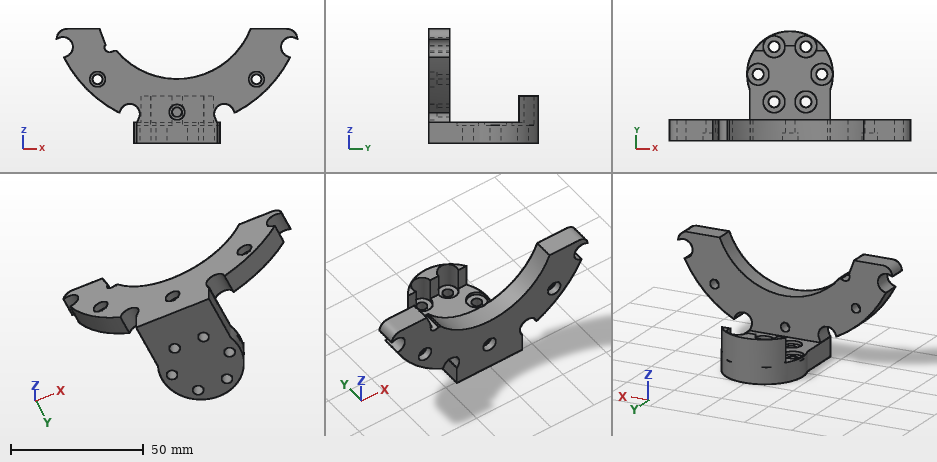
import cadquery as cq
import math

plate_thickness = 8.0
plate_width = 90.8
plate_height = 43.1
arc_center_z = 54.0
inner_radius = 29.8
horn_radius = 4.1
horn_tip_x = plate_width / 2
horn_tip_z = plate_height - horn_radius
outer_radius = math.hypot(horn_tip_x, arc_center_z - horn_tip_z)
foot_half_width = 15.2

slot_width = 7.4
slot_center_radius = 46.5
slot_angles = (22.5, 67.5)

relief_top_x = -29.1
relief_bottom = (-26.8, 36.9)
notch_start = (-27.2, 36.7)
notch_middle = (-26.7, 34.9)
notch_end = (-24.3, 34.6)
lip_start = (-23.6, 34.9)

plate_hole_diameter = 3.6
plate_bore_diameter = 5.8
plate_bore_depth = 3.0
plate_hole_radius = 42.3
plate_hole_angles = (-45, 0, 45)

base_thickness = 8.0
flange_radius = 16.25
overall_depth = 41.3
flange_center_y = overall_depth - flange_radius

wall_height = 17.9
wall_front_y = 34.0
wall_middle_y = 35.8

bolt_count = 6
bolt_circle_radius = 12.0
bolt_hole_diameter = 4.1
bolt_bore_diameter = 8.2
bolt_bore_depth = 1.3


def on_arc(radius, angle):
    """Point (x, z) on the plate arcs, angle in degrees from straight down."""
    turn = math.radians(angle)
    return radius * math.sin(turn), arc_center_z - radius * math.cos(turn)


def x_on_arc(radius, z):
    """Half width of a plate arc at height z."""
    return math.sqrt(radius**2 - (arc_center_z - z) ** 2)


def front_plane():
    """Sketch plane on the front face; extruding by a negative length goes toward +Y."""
    return cq.Workplane("XZ")


def upright_plate():
    horn_top_x = horn_tip_x - horn_radius
    bulge = horn_radius * math.sqrt(0.5)
    horn_middle = (horn_top_x + bulge, horn_tip_z + bulge)
    inner_x = x_on_arc(inner_radius, plate_height)
    lip_end = (-x_on_arc(inner_radius, lip_start[1]), lip_start[1])
    band = (
        front_plane()
        .moveTo(-horn_top_x, plate_height)
        .lineTo(relief_top_x, plate_height)
        .lineTo(*relief_bottom)
        .lineTo(*notch_start)
        .threePointArc(notch_middle, notch_end)
        .lineTo(*lip_start)
        .lineTo(*lip_end)
        .threePointArc(on_arc(inner_radius, 0), (inner_x, plate_height))
        .lineTo(horn_top_x, plate_height)
        .threePointArc(horn_middle, (horn_tip_x, horn_tip_z))
        .threePointArc(on_arc(outer_radius, 0), (-horn_tip_x, horn_tip_z))
        .threePointArc((-horn_middle[0], horn_middle[1]), (-horn_top_x, plate_height))
        .close()
        .extrude(-plate_thickness)
    )
    foot_height = arc_center_z - (inner_radius + outer_radius) / 2
    foot = cq.Workplane("XY").box(
        2 * foot_half_width, plate_thickness, foot_height, centered=(True, False, False)
    )
    return band.union(foot)


def rim_slot(angle):
    """Round-ended slot running radially outward from its center."""
    x, z = on_arc(slot_center_radius, angle)
    round_end = front_plane().center(x, z).circle(slot_width / 2).extrude(-plate_thickness)
    mouth = (
        cq.Workplane("XY")
        .box(slot_width, plate_thickness, slot_width, centered=(True, False, False))
        .translate((0, 0, -slot_center_radius - slot_width))
        .rotate((0, 0, 0), (0, 1, 0), -angle)
        .translate((0, 0, arc_center_z))
    )
    return round_end.union(mouth)


def plate_screw_hole(angle):
    x, z = on_arc(plate_hole_radius, angle)
    plane = front_plane().center(x, z)
    hole = plane.circle(plate_hole_diameter / 2).extrude(-plate_thickness)
    bore = plane.circle(plate_bore_diameter / 2).extrude(-plate_bore_depth)
    return hole.union(bore)


def flange_disc(height):
    return cq.Workplane("XY").center(0, flange_center_y).circle(flange_radius).extrude(height)


def base():
    neck = cq.Workplane("XY").box(
        2 * foot_half_width, flange_center_y, base_thickness, centered=(True, False, False)
    )
    return neck.union(flange_disc(base_thickness))


def rear_wall():
    keep = cq.Workplane("XY").box(
        2 * flange_radius, overall_depth, wall_height, centered=(True, False, False)
    )
    wall = flange_disc(wall_height).intersect(keep.translate((0, wall_front_y, 0)))
    recess_width = 2 * bolt_circle_radius * math.sin(math.pi / bolt_count)
    recess = (
        cq.Workplane("XY")
        .box(recess_width, wall_middle_y - wall_front_y, wall_height, centered=(True, False, False))
        .translate((0, wall_front_y, base_thickness))
    )
    return wall.cut(recess)


def flange_bolt_holes():
    seat_z = base_thickness - bolt_bore_depth
    pattern = cq.Workplane("XY").center(0, flange_center_y).polarArray(
        bolt_circle_radius, 0, 360, bolt_count
    )
    holes = pattern.circle(bolt_hole_diameter / 2).extrude(wall_height)
    bores = (
        cq.Workplane("XY", origin=(0, flange_center_y, seat_z))
        .polarArray(bolt_circle_radius, 0, 360, bolt_count)
        .circle(bolt_bore_diameter / 2)
        .extrude(wall_height)
    )
    return holes, bores


plate = upright_plate()
for slot_angle in slot_angles:
    plate = plate.cut(rim_slot(slot_angle)).cut(rim_slot(-slot_angle))
for hole_angle in plate_hole_angles:
    plate = plate.cut(plate_screw_hole(hole_angle))

flange = base().union(rear_wall())
for cutter in flange_bolt_holes():
    flange = flange.cut(cutter)

result = plate.union(flange)